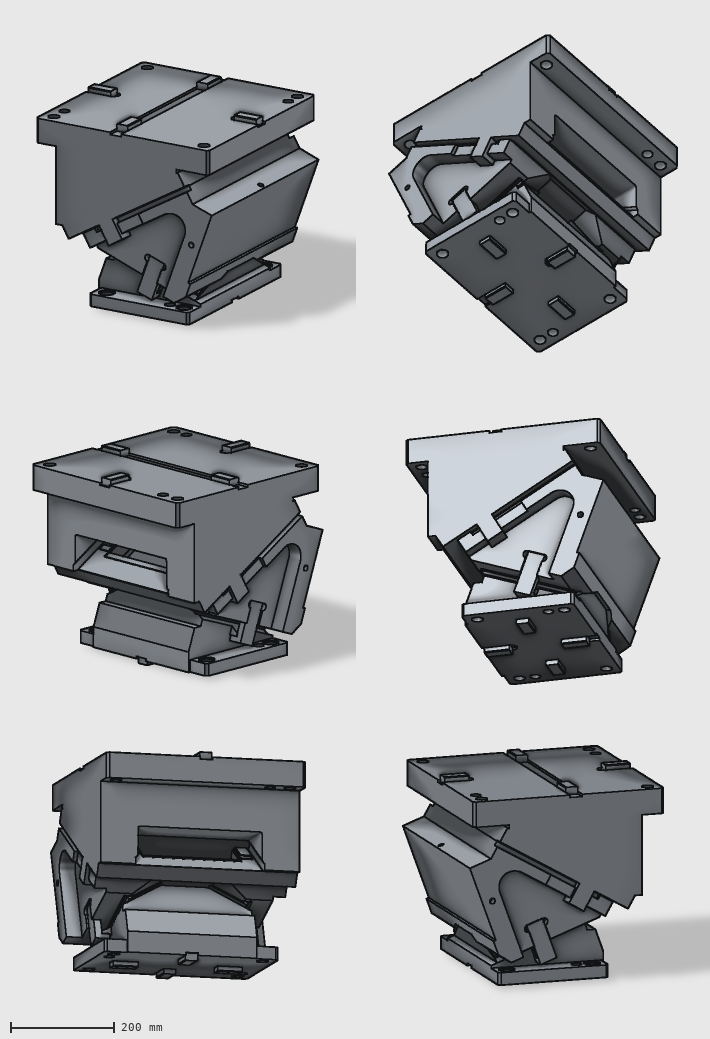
import cadquery as cq
import math

HALF_WIDTH = 200.0
TOP_Z = 373.0
BIG = 480.0
OVERLAP = 4.0

KEY_LENGTH = 50.0
KEY_WIDTH = 25.0
KEY_RISE = 10.0
KEY_CHAMFER = 1.5
KEYWAY_DEPTH = 5.0
KEYWAY_LENGTH = 67.0

PLATE_LEFT = -180.0
PLATE_RIGHT = 210.0
PLATE_THICKNESS = 50.0
PLATE_CHAMFER = 5.0
HOLE_MARGIN = 25.0
SCREW_DIA = 22.5
DOWEL_DIA = 20.0
DOWEL_FAR_Y = 140.5
DOWEL_NEAR_Y = -135.0
CROSS_KEY_OUTER_Y = 174.5
END_KEY_INSET = 5.0
BODY_LEFT = -135.0
BODY_RIGHT = 137.0
BODY_RIGHT_FOOT_Z = 315.0
NOSE_Z = 164.0

UPPER_ANGLE = 30.0
UPPER_ORIGIN_Z = 200.0
NOSE_S = -122.5
UPPER_END_S = 180.0
HOOK_S = (-43.0, -8.0)
HOOK_DEPTH = 44.0
CORE_HALF_WIDTH = 168.0

WINDOW_TOP_Z = 238.5
WINDOW_HALF_WIDTH = 125.0
WINDOW_FILLET = 5.0
WINDOW_FLOOR_T = 31.0
WINDOW_WIDE_T = 47.0
WINDOW_WIDENING = 5.0
WINDOW_END_S = HOOK_S[1]
OPENING_S = -62.0
OPENING_HALF_WIDTH = 97.0
RIM_S = -75.5
RIM_HALF_WIDTH = 99.0
STEP_HEIGHT = 2.0
UPPER_STEP_S = -49.5
UPPER_STEP_HALF_WIDTH = 102.5
PAD_THICKNESS = 1.5
PAD_HALF_WIDTH = 184.0
TONGUE_LENGTH = 24.0
TONGUE_DEPTH = 12.0

SLIDE_START_S = -91.0
FLANGE_DEPTH = 33.0
FLANGE_HALF_WIDTH = 192.0
FLANGE_END_S = 53.0
LEDGE_START_S = -61.0
LEDGE_DEPTH = 11.0
LEDGE_HALF_WIDTH = PAD_HALF_WIDTH
RECESS_END_U = 115.0
RECESS_FILLET = 30.0
SMALL_HOLE_DIA = 11.0
SMALL_HOLE_DEPTH = 20.0
DRILL_POINT_ANGLE = 118.0
SIDE_HOLE_X = 171.0
SIDE_HOLE_Z = 174.5
END_HOLE_U = 144.5

LOWER_ANGLE = 20.0
LOWER_ORIGIN_Z = 97.5
SLIDE_END_U = 155.0
SLIDE_TOP_N = 210.5
STEP_N = 55.0
FOOT_U = 160.0
FOOT_N = 23.5
FOOT_CHAMFER_U = 141.0

ROOF_ANGLE = 30.0
ROOF_U = (-40.0, 150.0)
EAVE_N = -12.5
ROOF_FLAT_HALF_WIDTH = 48.0
WEAR_PLATE_U = (-50.0, 149.5)
WEAR_PLATE_EDGE_N = -5.5
WEAR_PLATE_THICKNESS = 6.5
GROOVE_MOUTH_HALF_WIDTH = 114.0
RELIEF_START_U = -52.5
RELIEF_HALF_WIDTH = 129.0
RELIEF_DEPTH = 2.5

RETAINER_U = (44.0, 79.0)
RETAINER_BOTTOM_N = -41.0
RETAINER_Y = (150.0, 164.0)
LIP_INNER_Y = 135.0
LIP_THICKNESS = 11.0
SLOT_CENTRE_N = 38.0
SLOT_RADIUS = 7.0
EAR_U = (46.0, 77.0)
EAR_HALF_WIDTH = 149.5

BASE_LEFT = -80.0
BASE_RIGHT = 150.0
BASE_HALF_WIDTH = 130.0
BASE_WALL_Z = 41.0
SHOULDER_Z = 86.5
FLANGE_LEFT = -75.0
BASE_FLANGE_HALF_WIDTH = 175.0
BASE_FLANGE_THICKNESS = 25.0
LEFT_KEY_INSET = 5.0
RIGHT_KEY_INSET = 20.0
COUNTERBORE_DIA = 31.5
COUNTERBORE_DEPTH = 2.5
BASE_DOWEL_OFFSET = 32.0


def direction(angle):
    """Unit vector in the XZ plane, rising by the angle from +X."""
    return (math.cos(math.radians(angle)), 0, math.sin(math.radians(angle)))


UPPER = cq.Plane(origin=(0, 0, UPPER_ORIGIN_Z), xDir=direction(UPPER_ANGLE), normal=(0, -1, 0))
LOWER = cq.Plane(origin=(0, 0, LOWER_ORIGIN_Z), xDir=direction(-LOWER_ANGLE), normal=(0, -1, 0))
LOWER_SECTION = cq.Plane(origin=(0, 0, LOWER_ORIGIN_Z), xDir=(0, 1, 0), normal=direction(-LOWER_ANGLE))


def upper_point(s, t):
    """(x, z) of a point given along and square to the upper sliding plane."""
    point = UPPER.toWorldCoords((s, t))
    return (point.x, point.z)


def lower_point(u, n):
    """(x, z) of a point given along and square to the lower sliding plane."""
    point = LOWER.toWorldCoords((u, n))
    return (point.x, point.z)


def meeting_point(s, n):
    """(x, z) where the line of constant s crosses the line of constant n."""
    turn = math.radians(UPPER_ANGLE + LOWER_ANGLE)
    origin_s, origin_t = UPPER.toLocalCoords(cq.Vector(0, 0, LOWER_ORIGIN_Z)).toTuple()[:2]
    t = (n - (s - origin_s) * math.sin(turn)) / math.cos(turn) + origin_t
    return upper_point(s, t)


def profile(points, half_width):
    """Prism of an (x, z) outline, symmetric about Y = 0."""
    return cq.Workplane("XZ").polyline(points).close().extrude(half_width, both=True)


def block(plane, along, across, half_width):
    """Box in a sloping frame, symmetric about Y = 0."""
    length = along[1] - along[0]
    height = across[1] - across[0]
    middle = ((along[0] + along[1]) / 2, (across[0] + across[1]) / 2)
    return cq.Workplane(plane).center(*middle).rect(length, height).extrude(half_width, both=True)


def side_blocks(plane, along, across, inner, outer):
    """Pair of boxes in a sloping frame, one on each side, from |Y| = inner to outer."""
    return block(plane, along, across, outer).cut(block(plane, along, across, inner))


def lower_prism(section, along):
    """Prism of a (y, n) section along the lower slope."""
    return (
        cq.Workplane(LOWER_SECTION)
        .workplane(offset=along[0])
        .polyline(section)
        .close()
        .extrude(along[1] - along[0])
    )


def mirrored(body):
    """The body together with its mirror image about Y = 0."""
    return body.union(body.mirror("XZ"))


def bore(x, y, diameter, bottom, top):
    """Upright cylinder used to drill a hole."""
    return cq.Workplane("XY", origin=(x, y, bottom)).circle(diameter / 2).extrude(top - bottom)


def key_along_x(left, face_z, facing):
    """Key along X, seated in a keyway; facing is +1 for a top face, -1 for an underside."""
    height = KEYWAY_DEPTH + KEY_RISE
    key = cq.Workplane("XY").box(KEY_LENGTH, KEY_WIDTH, height, centered=(False, True, False))
    key = key.faces(">Z").edges("|X").chamfer(KEY_CHAMFER)
    if facing < 0:
        key = key.mirror("XY")
    return key.translate((left, 0, face_z - facing * KEYWAY_DEPTH))


def key_along_y(x, inner_y, face_z, facing):
    """Key along Y from inner_y outwards, centred on x."""
    key = key_along_x(inner_y, face_z, facing)
    return key.rotate((0, 0, 0), (0, 0, 1), 90).translate((x, 0, 0))


def end_keyway(edge_x, inward, face_z):
    """Keyway along X, open at edge_x and round at its inner end; inward is +1 or -1."""
    radius = KEY_WIDTH / 2
    straight = KEYWAY_LENGTH - radius
    return (
        cq.Workplane("XY", origin=(edge_x, 0, face_z))
        .moveTo(0, -radius)
        .lineTo(inward * straight, -radius)
        .threePointArc((inward * KEYWAY_LENGTH, 0), (inward * straight, radius))
        .lineTo(0, radius)
        .close()
        .extrude(KEYWAY_DEPTH, both=True)
    )


def roof_n(y):
    """Height of the roof slope at |Y| = y."""
    return EAVE_N + (BASE_HALF_WIDTH - y) * math.tan(math.radians(ROOF_ANGLE))


def roof(along):
    """Flat-topped roof prism of the lower guide."""
    section = [
        (-BASE_HALF_WIDTH, EAVE_N),
        (-ROOF_FLAT_HALF_WIDTH, roof_n(ROOF_FLAT_HALF_WIDTH)),
        (ROOF_FLAT_HALF_WIDTH, roof_n(ROOF_FLAT_HALF_WIDTH)),
        (BASE_HALF_WIDTH, EAVE_N),
    ]
    return lower_prism(section, along)


def holder_window():
    """Pocket entering from the -X face, ending at a wall square to the upper slope."""
    floor = WINDOW_FLOOR_T
    tall = cq.Workplane("XY").box(
        BIG, 2 * WINDOW_HALF_WIDTH, WINDOW_TOP_Z, centered=(True, True, False)
    )
    tall = tall.edges("|X and >Z").fillet(WINDOW_FILLET)
    tall = tall.intersect(block(UPPER, (-BIG, WINDOW_END_S), (floor, BIG), HALF_WIDTH))
    wide_half = WINDOW_HALF_WIDTH + WINDOW_WIDENING
    wide = block(UPPER, (-BIG, WINDOW_END_S), (floor, WINDOW_WIDE_T + WINDOW_WIDENING), wide_half)
    wide = wide.edges(cq.selectors.ParallelDirSelector(cq.Vector(*direction(UPPER_ANGLE)))).edges(">Z")
    wide = wide.chamfer(WINDOW_WIDENING)
    return tall.union(wide)


def holder_floor_steps():
    """Two low steps on each side of the opening in the window floor."""
    first_top = WINDOW_FLOOR_T + STEP_HEIGHT
    first = side_blocks(UPPER, (OPENING_S, WINDOW_END_S), (WINDOW_FLOOR_T, first_top),
                        RIM_HALF_WIDTH, WINDOW_HALF_WIDTH)
    second = side_blocks(UPPER, (UPPER_STEP_S, WINDOW_END_S), (first_top, first_top + STEP_HEIGHT),
                         UPPER_STEP_HALF_WIDTH, WINDOW_HALF_WIDTH)
    return first.union(second)


def tongue():
    """Block under the window's end wall, reaching down into the slide."""
    return block(UPPER, (WINDOW_END_S, WINDOW_END_S + TONGUE_LENGTH), (-TONGUE_DEPTH, OVERLAP),
                 OPENING_HALF_WIDTH)


def holder_holes():
    """Four screw holes in the corners of the plate and two dowel holes."""
    left = PLATE_LEFT + HOLE_MARGIN
    right = PLATE_RIGHT - HOLE_MARGIN
    screw_y = HALF_WIDTH - HOLE_MARGIN
    spots = [(x, y, SCREW_DIA) for x in (left, right) for y in (-screw_y, screw_y)]
    spots += [(left, DOWEL_NEAR_Y, DOWEL_DIA), (right, DOWEL_FAR_Y, DOWEL_DIA)]
    holes = cq.Workplane("XY")
    for x, y, diameter in spots:
        holes = holes.add(bore(x, y, diameter, TOP_Z - PLATE_THICKNESS, TOP_Z))
    return holes.combine()


def make_holder():
    plate_bottom = TOP_Z - PLATE_THICKNESS
    plate = cq.Workplane("XY", origin=(PLATE_LEFT, 0, plate_bottom)).box(
        PLATE_RIGHT - PLATE_LEFT, 2 * HALF_WIDTH, PLATE_THICKNESS, centered=(False, True, False)
    )
    plate = plate.edges("|Z").chamfer(PLATE_CHAMFER)

    foot_t = UPPER.toLocalCoords(cq.Vector(BODY_RIGHT, 0, BODY_RIGHT_FOOT_Z)).y
    slope_angle = math.radians(UPPER_ANGLE)
    nose_t = (NOSE_Z - UPPER_ORIGIN_Z - NOSE_S * math.sin(slope_angle)) / math.cos(slope_angle)
    body = profile([
        (BODY_LEFT, plate_bottom),
        (BODY_LEFT, NOSE_Z),
        upper_point(NOSE_S, nose_t),
        upper_point(NOSE_S, 0),
        upper_point(UPPER_END_S, 0),
        upper_point(UPPER_END_S, foot_t),
        (BODY_RIGHT, BODY_RIGHT_FOOT_Z),
        (BODY_RIGHT, plate_bottom),
    ], HALF_WIDTH)
    pad = block(UPPER, (SLIDE_START_S, UPPER_END_S), (-PAD_THICKNESS, 0), PAD_HALF_WIDTH)
    holder = plate.union(body).union(pad)

    holder = holder.cut(holder_window())
    holder = holder.cut(block(UPPER, (RIM_S, WINDOW_END_S), (WINDOW_FLOOR_T - STEP_HEIGHT, WINDOW_FLOOR_T),
                              RIM_HALF_WIDTH))
    holder = holder.cut(block(UPPER, (OPENING_S, WINDOW_END_S), (-PAD_THICKNESS, WINDOW_FLOOR_T),
                              OPENING_HALF_WIDTH))
    holder = holder.union(holder_floor_steps())

    holder = holder.union(side_blocks(UPPER, HOOK_S, (-HOOK_DEPTH, OVERLAP), CORE_HALF_WIDTH, HALF_WIDTH))
    holder = holder.union(tongue())
    holder = holder.cut(holder_holes())

    holder = holder.cut(
        cq.Workplane("XY", origin=(0, 0, TOP_Z)).box(KEY_WIDTH, 2 * HALF_WIDTH, 2 * KEYWAY_DEPTH)
    )
    holder = holder.cut(end_keyway(PLATE_LEFT, 1, TOP_Z)).cut(end_keyway(PLATE_RIGHT, -1, TOP_Z))
    for inner_y in (-CROSS_KEY_OUTER_Y, CROSS_KEY_OUTER_Y - KEY_LENGTH):
        holder = holder.union(key_along_y(0, inner_y, TOP_Z, 1))
    for left in (PLATE_LEFT + END_KEY_INSET, PLATE_RIGHT - END_KEY_INSET - KEY_LENGTH):
        holder = holder.union(key_along_x(left, TOP_Z, 1))
    return holder.solids().val()


def slide_recesses():
    """Side recesses under the flanges, with a round upper corner."""
    lower_origin = UPPER.toLocalCoords(cq.Vector(0, 0, LOWER_ORIGIN_Z))
    drop = -FLANGE_DEPTH - lower_origin.y
    turn = math.radians(UPPER_ANGLE + LOWER_ANGLE)
    corner_s = lower_origin.x + (RECESS_END_U + drop * math.sin(turn)) / math.cos(turn)
    outline = [
        upper_point(corner_s, -FLANGE_DEPTH),
        upper_point(-BIG, -FLANGE_DEPTH),
        lower_point(-BIG, -BIG),
        lower_point(RECESS_END_U, -BIG),
    ]
    recess = profile(outline, BIG).edges("|Y and >X").fillet(RECESS_FILLET)
    return recess.cut(cq.Workplane("XY").box(4 * BIG, 2 * CORE_HALF_WIDTH, 4 * BIG))


def wear_plates():
    """Plates lying on both roof slopes, standing out below the slide."""
    angle = math.radians(ROOF_ANGLE)
    edge_y = BASE_HALF_WIDTH - (WEAR_PLATE_EDGE_N - EAVE_N) / math.tan(angle)
    rise_y = WEAR_PLATE_THICKNESS * math.sin(angle)
    rise_n = WEAR_PLATE_THICKNESS * math.cos(angle)
    top_n = roof_n(ROOF_FLAT_HALF_WIDTH)
    return mirrored(lower_prism([
        (edge_y, WEAR_PLATE_EDGE_N),
        (edge_y + rise_y, WEAR_PLATE_EDGE_N + rise_n),
        (ROOF_FLAT_HALF_WIDTH + rise_y, top_n + rise_n),
        (ROOF_FLAT_HALF_WIDTH, top_n),
    ], WEAR_PLATE_U))


def groove_mouth():
    """Wider groove at the leading end of the slide, ahead of the wear plates."""
    top_n = roof_n(ROOF_FLAT_HALF_WIDTH)
    top_half = GROOVE_MOUTH_HALF_WIDTH - top_n / math.tan(math.radians(ROOF_ANGLE))
    section = [
        (-GROOVE_MOUTH_HALF_WIDTH, 0),
        (-top_half, top_n),
        (top_half, top_n),
        (GROOVE_MOUTH_HALF_WIDTH, 0),
    ]
    return lower_prism(section, (-BIG, WEAR_PLATE_U[0]))


def wear_plate_relief():
    """Shallow relief in the underside of the slide, its sides parallel to the roof slopes."""
    inner = RELIEF_HALF_WIDTH - RELIEF_DEPTH / math.tan(math.radians(ROOF_ANGLE))
    section = [
        (-RELIEF_HALF_WIDTH, 0),
        (-inner, RELIEF_DEPTH),
        (inner, RELIEF_DEPTH),
        (RELIEF_HALF_WIDTH, 0),
    ]
    return lower_prism(section, (RELIEF_START_U, BIG))


def retainer_slots():
    """Round-ended slots and straight channels that seat the retaining hooks."""
    width = RETAINER_U[1] - RETAINER_U[0]
    middle = (RETAINER_U[0] + RETAINER_U[1]) / 2
    slots = (
        cq.Workplane(LOWER)
        .center(middle, SLOT_CENTRE_N)
        .slot2D(width + 2 * SLOT_RADIUS, 2 * SLOT_RADIUS)
        .extrude(CORE_HALF_WIDTH, both=True)
        .cut(cq.Workplane("XY").box(4 * BIG, 2 * RETAINER_Y[0], 4 * BIG))
    )
    channels = side_blocks(LOWER, RETAINER_U, (RETAINER_BOTTOM_N, SLOT_CENTRE_N),
                           RETAINER_Y[0], CORE_HALF_WIDTH)
    return slots.union(channels)


def retainers():
    """L-shaped hooks, one on each side, reaching under the ears of the base."""
    top_n = SLOT_CENTRE_N + SLOT_RADIUS
    bars = side_blocks(LOWER, RETAINER_U, (RETAINER_BOTTOM_N, top_n), *RETAINER_Y)
    lips = side_blocks(LOWER, RETAINER_U, (RETAINER_BOTTOM_N, RETAINER_BOTTOM_N + LIP_THICKNESS),
                       LIP_INNER_Y, RETAINER_Y[1])
    return bars.union(lips)


def side_hole():
    """Blind hole in the -Y side with a drill-point bottom."""
    radius = SMALL_HOLE_DIA / 2
    tip_depth = SMALL_HOLE_DEPTH + radius / math.tan(math.radians(DRILL_POINT_ANGLE / 2))
    half_section = [(0, 0), (radius, 0), (radius, SMALL_HOLE_DEPTH), (0, tip_depth)]
    hole = cq.Workplane("XY").polyline(half_section).close().revolve(360, (0, 0), (0, 1))
    return hole.translate((SIDE_HOLE_X, -HALF_WIDTH, SIDE_HOLE_Z))


def make_slide():
    slide = profile([
        meeting_point(SLIDE_START_S, 0),
        upper_point(SLIDE_START_S, -PAD_THICKNESS),
        upper_point(UPPER_END_S, -PAD_THICKNESS),
        meeting_point(UPPER_END_S, SLIDE_TOP_N),
        lower_point(SLIDE_END_U, SLIDE_TOP_N),
        lower_point(SLIDE_END_U, STEP_N),
        lower_point(FOOT_U, STEP_N),
        lower_point(FOOT_U, FOOT_N),
        lower_point(FOOT_CHAMFER_U, 0),
    ], HALF_WIDTH)

    slide = slide.cut(slide_recesses())
    slide = slide.cut(side_blocks(UPPER, (-BIG, FLANGE_END_S), (-FLANGE_DEPTH, OVERLAP),
                                  FLANGE_HALF_WIDTH, BIG))
    slide = slide.cut(side_blocks(UPPER, (LEDGE_START_S, BIG), (-LEDGE_DEPTH, OVERLAP),
                                  LEDGE_HALF_WIDTH, BIG))

    slide = slide.cut(side_blocks(UPPER, HOOK_S, (-HOOK_DEPTH, OVERLAP), CORE_HALF_WIDTH, BIG))
    slide = slide.cut(block(UPPER, (OPENING_S, WINDOW_END_S + TONGUE_LENGTH), (-TONGUE_DEPTH, OVERLAP),
                            OPENING_HALF_WIDTH))

    slide = slide.cut(roof((-BIG, BIG))).cut(groove_mouth()).cut(wear_plate_relief())
    slide = slide.union(wear_plates())
    slide = slide.cut(retainer_slots()).union(retainers())

    slide = slide.cut(mirrored(side_hole()))
    end_plane = cq.Plane(
        origin=LOWER.toWorldCoords((END_HOLE_U, SLIDE_TOP_N)),
        xDir=(0, 1, 0),
        normal=direction(90 - LOWER_ANGLE),
    )
    slide = slide.cut(cq.Workplane(end_plane).circle(SMALL_HOLE_DIA / 2).extrude(-SMALL_HOLE_DEPTH))
    return slide.solids().val()


def base_holes():
    """Counterbored screw holes in the corners and two dowel holes on a diagonal."""
    left = FLANGE_LEFT + HOLE_MARGIN
    right = BASE_RIGHT - HOLE_MARGIN
    row_y = BASE_FLANGE_HALF_WIDTH - HOLE_MARGIN
    top = BASE_FLANGE_THICKNESS
    holes = cq.Workplane("XY")
    for x in (left, right):
        for y in (-row_y, row_y):
            holes = holes.add(bore(x, y, SCREW_DIA, 0, top))
            holes = holes.add(bore(x, y, COUNTERBORE_DIA, top - COUNTERBORE_DEPTH, top))
    holes = holes.add(bore(right - BASE_DOWEL_OFFSET, -row_y, DOWEL_DIA, 0, top))
    holes = holes.add(bore(left + BASE_DOWEL_OFFSET, row_y, DOWEL_DIA, 0, top))
    return holes.combine()


def base_ears():
    """Short ears that carry the roof slopes outwards over the lips of the retaining hooks."""
    bottom_n = RETAINER_BOTTOM_N + LIP_THICKNESS
    return mirrored(lower_prism([
        (BASE_HALF_WIDTH, EAVE_N),
        (EAR_HALF_WIDTH, roof_n(EAR_HALF_WIDTH)),
        (EAR_HALF_WIDTH, bottom_n),
        (BASE_HALF_WIDTH, bottom_n),
    ], EAR_U))


def make_base():
    slope = math.tan(math.radians(LOWER_ANGLE))
    eave_x, eave_z = lower_point(ROOF_U[0], EAVE_N)
    eave_end_z = eave_z - (BASE_RIGHT - eave_x) * slope
    body = profile([
        (BASE_LEFT, 0),
        (BASE_LEFT, BASE_WALL_Z),
        (BASE_LEFT + (SHOULDER_Z - BASE_WALL_Z) * slope, SHOULDER_Z),
        (eave_x - (eave_z - SHOULDER_Z) * slope, SHOULDER_Z),
        (eave_x, eave_z),
        (BASE_RIGHT, eave_end_z),
        (BASE_RIGHT, 0),
    ], BASE_HALF_WIDTH)
    flange = cq.Workplane("XY", origin=(FLANGE_LEFT, 0, 0)).box(
        BASE_RIGHT - FLANGE_LEFT, 2 * BASE_FLANGE_HALF_WIDTH, BASE_FLANGE_THICKNESS,
        centered=(False, True, False)
    )
    flange = flange.edges("|Z").chamfer(PLATE_CHAMFER).cut(base_holes())
    base = flange.union(body).union(roof(ROOF_U)).union(base_ears())

    base = base.cut(end_keyway(BASE_LEFT, 1, 0)).cut(end_keyway(BASE_RIGHT, -1, 0))
    centre_x = (BASE_LEFT + BASE_RIGHT) / 2
    for left in (BASE_LEFT + LEFT_KEY_INSET, BASE_RIGHT - RIGHT_KEY_INSET - KEY_LENGTH):
        base = base.union(key_along_x(left, 0, -1))
    for inner_y in (-BASE_HALF_WIDTH, BASE_HALF_WIDTH - KEY_LENGTH):
        base = base.union(key_along_y(centre_x, inner_y, 0, -1))
    return base.solids().val()


holder = make_holder()
slide = make_slide()
base = make_base()

result = cq.Compound.makeCompound([holder, slide, base])